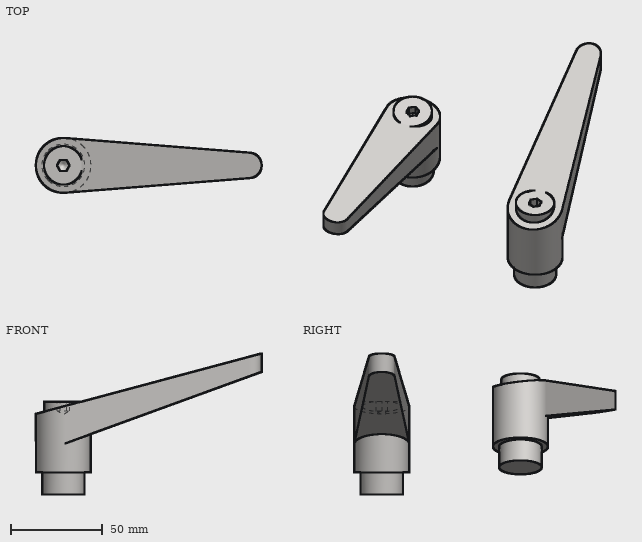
import cadquery as cq
import math

hub_radius = 15.0
foot_diameter = 23.2
foot_height = 12.0

tip_radius = 7.0
tip_center_x = 101.0
top_slope_angle = 15.0
under_slope_angle = 20.0
top_height_at_hub_back = 43.9
under_height_at_tip = 66.7

button_diameter = 21.0
button_top = 50.6
hexagon_sides = 6
socket_across_flats = 6.0
socket_depth = 5.0
socket_cone_angle = 118.0

hub_back_x = -hub_radius
tip_x = tip_center_x + tip_radius
socket_across_corners = socket_across_flats / math.cos(math.pi / hexagon_sides)


def top_height(x):
    """Height of the sloping top face at x."""
    return top_height_at_hub_back + (x - hub_back_x) * math.tan(math.radians(top_slope_angle))


def under_height(x):
    """Height of the sloping underside of the arm at x."""
    return under_height_at_tip - (tip_x - x) * math.tan(math.radians(under_slope_angle))


tangent_sine = (hub_radius - tip_radius) / tip_center_x
tangent_cosine = math.sqrt(1 - tangent_sine**2)
hub_tangent = (hub_radius * tangent_sine, hub_radius * tangent_cosine)
tip_tangent = (tip_center_x + tip_radius * tangent_sine, tip_radius * tangent_cosine)


def side_prism(points):
    """Extrude an (X, Z) polygon across the full width of the part."""
    return cq.Workplane("XZ").polyline(points).close().extrude(hub_radius, both=True)


def make_arm():
    """Plan outline from the hub tangents to the rounded tip, cut to the two slopes."""
    root_x, root_y = hub_tangent
    end_x, end_y = tip_tangent
    plan = (
        cq.Workplane("XY")
        .moveTo(root_x, -root_y)
        .lineTo(end_x, -end_y)
        .threePointArc((tip_x, 0), (end_x, end_y))
        .lineTo(root_x, root_y)
        .close()
        .extrude(top_height(tip_x))
    )
    wedge = side_prism([
        (root_x, under_height(root_x)),
        (tip_x, under_height(tip_x)),
        (tip_x, top_height(tip_x)),
        (root_x, top_height(root_x)),
    ])
    return plan.intersect(wedge)


def make_hub():
    """Round hub whose top follows the slope of the arm."""
    cylinder = cq.Workplane("XY").circle(hub_radius).extrude(top_height(hub_radius))
    profile = side_prism([
        (hub_back_x, foot_height),
        (hub_radius, foot_height),
        (hub_radius, top_height(hub_radius)),
        (hub_back_x, top_height(hub_back_x)),
    ])
    return cylinder.intersect(profile)


def make_foot():
    """Narrower round foot below the hub."""
    return cq.Workplane("XY").circle(foot_diameter / 2).extrude(foot_height)


def make_button():
    """Flat-topped round button rising out of the sloping hub top."""
    return (
        cq.Workplane("XY")
        .workplane(offset=foot_height)
        .circle(button_diameter / 2)
        .extrude(button_top - foot_height)
    )


def hexagon_prism(bottom, top):
    """Hexagon of the socket size between two heights."""
    return (
        cq.Workplane("XY")
        .workplane(offset=bottom)
        .polygon(hexagon_sides, socket_across_corners)
        .extrude(top - bottom)
    )


def make_socket():
    """Hexagon socket with corners along X; the conical floor starts at the hexagon corners."""
    corner_radius = socket_across_corners / 2
    cone_depth = corner_radius / math.tan(math.radians(socket_cone_angle / 2))
    cone_start = button_top - socket_depth
    cone_tip = cone_start - cone_depth
    cone = cq.Solid.makeCone(0, corner_radius, cone_depth, pnt=cq.Vector(0, 0, cone_tip))
    floor = hexagon_prism(cone_tip, cone_start).intersect(cq.Workplane(cone))
    return floor.union(hexagon_prism(cone_start, button_top))


result = make_hub().union(make_arm()).union(make_foot()).union(make_button()).cut(make_socket())